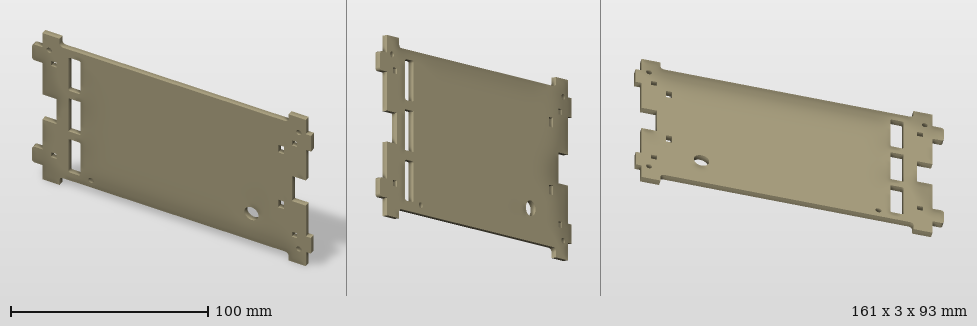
import cadquery as cq

length = 161.0
height = 93.0
thickness = 3.0
left_end = -length / 2
right_end = length / 2

left_tab_reach = 6.0
right_tab_reach = 3.0
lower_right_tab_relief = 0.2
tab_height = 10.0
tab_center_z = 32.5
tab_corner_radius = 1.6

body_left = left_end + left_tab_reach
body_right = right_end - right_tab_reach

ear_width = 10.0
ear_depth = 5.0
ear_root_radius = 2.0

notch_depth = 8.0
notch_height = 16.0
left_notch_center_z = -0.5

slot_width = 7.0
slot_height = 21.1
slot_center_x = -56.0
slot_pitch = 26.0
slot_corner_radius = 1.0

square_size = 3.0
square_z = tab_center_z - tab_height / 2 + square_size / 2
square_left_x = body_left + notch_depth - square_size / 2
square_right_x = body_right - notch_depth + square_size / 2

rectangle_width = 3.2
rectangle_height = 4.8
rectangle_x = 63.1
rectangle_centers_z = (22.5, -12.4)

small_diameter = 3.0
small_hole_z = 37.0
small_edge_distance = 4.0
lower_left_hole_x = -46.4
large_diameter = 8.0
large_hole_x = 46.0
large_hole_z = -24.5


def block(x_min, x_max, center_z, block_height):
    """Full-thickness block spanning x_min to x_max, centered on center_z."""
    return (
        cq.Workplane("XY")
        .box(x_max - x_min, thickness, block_height)
        .translate(((x_min + x_max) / 2, 0, center_z))
    )


def centered_block(x, z, width, block_height):
    """Full-thickness block centered at (x, z)."""
    return block(x - width / 2, x + width / 2, z, block_height)


def round_hole(x, z, diameter):
    """Full-thickness cylinder along Y, centered at (x, z)."""
    return (
        cq.Workplane("XZ")
        .center(x, z)
        .circle(diameter / 2)
        .extrude(thickness / 2, both=True)
    )


plate = block(body_left, body_right, 0, height)
recess_left = body_left + ear_width
recess_right = body_right - ear_width
for side in (1, -1):
    recess = block(recess_left, recess_right, side * height / 2, 2 * ear_depth)
    plate = plate.cut(recess.edges("|Y").fillet(ear_root_radius))

plate = plate.cut(block(body_left, body_left + notch_depth, left_notch_center_z, notch_height))
plate = plate.cut(block(body_right - notch_depth, body_right, 0, notch_height))

for side in (1, -1):
    left_tab = block(left_end, body_left + ear_width, side * tab_center_z, tab_height)
    plate = plate.union(left_tab.edges("|Y and <X").fillet(tab_corner_radius))
for side, relief in ((1, 0), (-1, lower_right_tab_relief)):
    tab_end = right_end - relief
    plate = plate.union(block(body_right - ear_width, tab_end, side * tab_center_z, tab_height))

for row in (-1, 0, 1):
    slot = centered_block(slot_center_x, row * slot_pitch, slot_width, slot_height)
    if row != 0:
        slot = slot.edges("|Y").fillet(slot_corner_radius)
    plate = plate.cut(slot)

for x in (square_left_x, square_right_x):
    for z in (square_z, -square_z):
        plate = plate.cut(centered_block(x, z, square_size, square_size))

for z in rectangle_centers_z:
    plate = plate.cut(centered_block(rectangle_x, z, rectangle_width, rectangle_height))

small_hole_centers = (
    (body_left + small_edge_distance, small_hole_z),
    (body_right - small_edge_distance, small_hole_z),
    (body_right - small_edge_distance, -small_hole_z),
    (lower_left_hole_x, -small_hole_z),
)
for x, z in small_hole_centers:
    plate = plate.cut(round_hole(x, z, small_diameter))
plate = plate.cut(round_hole(large_hole_x, large_hole_z, large_diameter))

result = plate